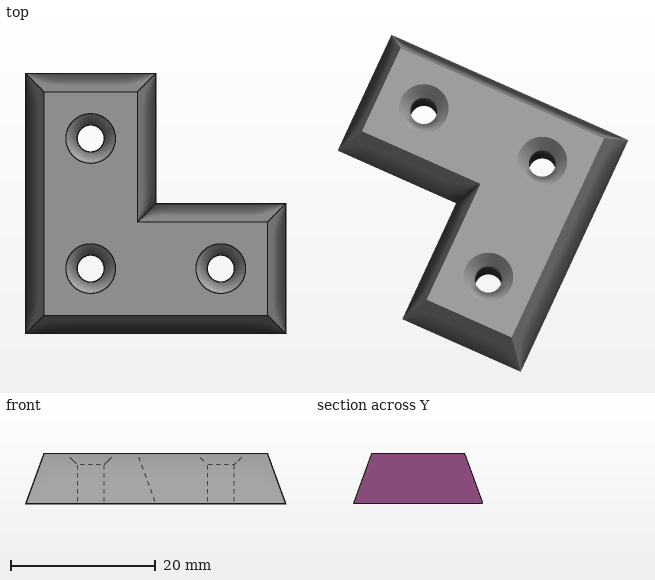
import cadquery as cq
import math

leg_length = 36
leg_width = leg_length / 2
height = 7.0
wall_draft = 20

hole_diameter = 3.7
countersink_diameter = 6.88
countersink_angle = 90
near_center = leg_width / 2
far_center = leg_length - near_center
hole_centers = [
    (near_center, near_center),
    (far_center, near_center),
    (near_center, far_center),
]


def l_outline(inset):
    """Corners of the L, with every edge moved inward by the inset."""
    end = leg_length - inset
    inner = leg_width - inset
    return [
        (inset, inset),
        (end, inset),
        (end, inner),
        (inner, inner),
        (inner, end),
        (inset, end),
    ]


def make_body():
    """L-shaped block with flat drafted walls that meet at sharp mitred corners."""
    top_inset = height * math.tan(math.radians(wall_draft))
    return (
        cq.Workplane("XY")
        .polyline(l_outline(0))
        .close()
        .workplane(offset=height)
        .polyline(l_outline(top_inset))
        .close()
        .loft(ruled=True)
    )


def cut_screw_holes(body):
    """Through holes, countersunk from the top face."""
    return (
        body.faces(">Z")
        .workplane(origin=(0, 0, height))
        .pushPoints(hole_centers)
        .cskHole(hole_diameter, countersink_diameter, countersink_angle)
    )


result = cut_screw_holes(make_body())